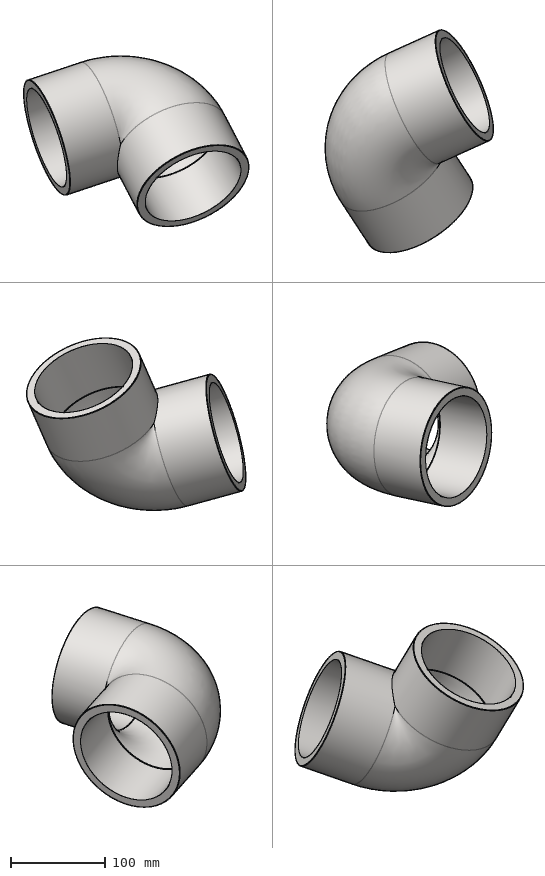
import cadquery as cq
import math

overall_length = 183.5
outer_diameter = 129.0
socket_diameter = 110.0
passage_diameter = 107.9
collar_length = 61.1
rim_chamfer = 0.5

outer_radius = outer_diameter / 2
socket_radius = socket_diameter / 2
passage_radius = passage_diameter / 2

leg_length = overall_length - outer_radius
bend_radius = leg_length - collar_length


def leg_pair(radius):
    """Cylinders as long as the collars, running inward from both mouths."""
    front_leg = cq.Workplane("XZ", origin=(0, -bend_radius, 0)).circle(radius).extrude(collar_length)
    side_leg = cq.Workplane("YZ", origin=(bend_radius, 0, 0)).circle(radius).extrude(collar_length)
    return front_leg.union(side_leg)


def quarter_bend(radius):
    """Quarter turn of a round section, cut off where it would cross the turning axis."""
    section = cq.Workplane("XZ", origin=(0, -bend_radius, 0))
    if radius > bend_radius:
        half_chord = math.sqrt(radius**2 - bend_radius**2)
        section = (
            section.moveTo(bend_radius, half_chord)
            .threePointArc((-radius, 0), (bend_radius, -half_chord))
            .close()
        )
    else:
        section = section.circle(radius)
    return section.revolve(90, (bend_radius, 0), (bend_radius, -1))


collars = leg_pair(outer_radius)
collars = collars.faces("<Y").edges().chamfer(rim_chamfer)
collars = collars.faces(">X").edges().chamfer(rim_chamfer)

hollow_collars = collars.cut(leg_pair(socket_radius))

hollow_bend = quarter_bend(outer_radius).cut(quarter_bend(passage_radius))

result = hollow_collars.union(hollow_bend)